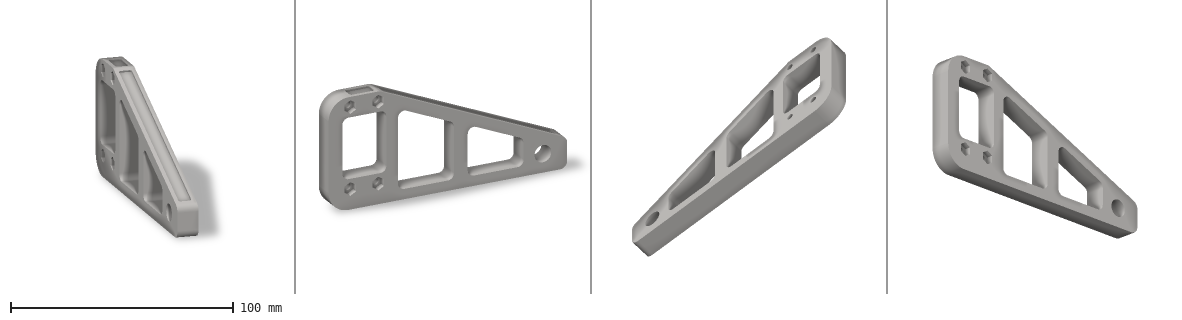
import cadquery as cq
import math

LENGTH = 120.0
THICKNESS = 10.0
HEIGHT = 55.0

BACK_RADIUS = 10.0
NOSE_RADIUS = 3.6
BEND_RADIUS = 3.0
BEND_X = 25.7
NOSE_HEIGHT = 14.8

MOUNT_CENTRE_Z = 30.0

WINDOW_RADIUS = 3.0
MOUNT_WINDOW_X = (7.0, 29.0)
MOUNT_WINDOW_HEIGHT = 30.0
BAY_WIDTH = 28.1
BAY_STARTS = (34.9, 70.0)
BAY_FLOOR = 5.0
BAY_TOP_WALLS = (5.8, 5.3)

HOLE_DIAMETER = 3.2
HOLE_XS = (10.9, 25.0)
HOLE_SPACING_Z = 40.0
NUT_FLATS = 5.8
NUT_DEPTH = 3.0

PIVOT_DIAMETER = 8.4
PIVOT_X = 107.8
PIVOT_Z = BAY_FLOOR + PIVOT_DIAMETER / 2

POCKET_MARGIN = 1.9
POCKET_BEND_MARGIN = 1.0
POCKET_DEPTH = 1.0
POCKET_RADIUS = 1.0

SLOPE = (HEIGHT - NOSE_HEIGHT) / (LENGTH - BEND_X)
SLOPE_ANGLE = math.atan(SLOPE)


def slope_height(x):
    return HEIGHT - SLOPE * (x - BEND_X)


def extruded_profile(points):
    """Extrude an XZ outline through the full thickness, from Y = 0 to Y = THICKNESS."""
    return cq.Workplane("XZ").polyline(points).close().extrude(-THICKNESS)


def make_plate():
    plate = extruded_profile([(0, 0), (LENGTH, 0), (LENGTH, NOSE_HEIGHT), (BEND_X, HEIGHT), (0, HEIGHT)])
    plate = plate.edges("|Y and <X").fillet(BACK_RADIUS)
    plate = plate.edges("|Y and >X").fillet(NOSE_RADIUS)
    bend = cq.selectors.NearestToPointSelector((BEND_X, THICKNESS / 2, HEIGHT))
    return plate.edges(bend).fillet(BEND_RADIUS)


def make_mount_window():
    left, right = MOUNT_WINDOW_X
    bottom = MOUNT_CENTRE_Z - MOUNT_WINDOW_HEIGHT / 2
    top = bottom + MOUNT_WINDOW_HEIGHT
    window = extruded_profile([(left, bottom), (right, bottom), (right, top), (left, top)])
    return window.edges("|Y").fillet(WINDOW_RADIUS)


def make_bay(left, top_wall):
    """Four-sided opening whose top edge runs parallel to the slope."""
    right = left + BAY_WIDTH
    drop = top_wall / math.cos(SLOPE_ANGLE)
    bay = extruded_profile([
        (left, BAY_FLOOR),
        (right, BAY_FLOOR),
        (right, slope_height(right) - drop),
        (left, slope_height(left) - drop),
    ])
    return bay.edges("|Y").fillet(WINDOW_RADIUS)


def make_nut_hole(x, z):
    """Through hole with a hexagonal nut recess in the front face, corners pointing up and down."""
    plane = cq.Workplane("XZ", origin=(x, 0, z))
    hole = plane.circle(HOLE_DIAMETER / 2).extrude(-THICKNESS)
    corner_diameter = NUT_FLATS / math.cos(math.pi / 6)
    recess = plane.transformed(rotate=(0, 0, 90)).polygon(6, corner_diameter).extrude(-NUT_DEPTH)
    return hole.union(recess)


def make_pocket(length):
    """Rounded pocket cutter centred on the origin, with its mouth at Z = 0."""
    width = THICKNESS - 2 * POCKET_MARGIN
    pocket = cq.Workplane("XY").rect(length, width).extrude(-POCKET_DEPTH)
    return pocket.edges("|Z").fillet(POCKET_RADIUS)


def make_top_pocket():
    bend_start = BEND_X - BEND_RADIUS * math.tan(SLOPE_ANGLE / 2)
    left = BACK_RADIUS + POCKET_MARGIN
    right = bend_start - POCKET_BEND_MARGIN
    return make_pocket(right - left).translate(((left + right) / 2, THICKNESS / 2, HEIGHT))


def make_slope_pocket():
    bend_setback = BEND_RADIUS * math.tan(SLOPE_ANGLE / 2)
    nose_setback = NOSE_RADIUS * math.tan((math.pi / 2 - SLOPE_ANGLE) / 2)
    left = BEND_X + (bend_setback + POCKET_MARGIN) * math.cos(SLOPE_ANGLE)
    right = LENGTH - (nose_setback + POCKET_MARGIN) * math.cos(SLOPE_ANGLE)
    middle = (left + right) / 2
    pocket = make_pocket((right - left) / math.cos(SLOPE_ANGLE))
    pocket = pocket.rotate((0, 0, 0), (0, 1, 0), math.degrees(SLOPE_ANGLE))
    return pocket.translate((middle, THICKNESS / 2, slope_height(middle)))


result = make_plate().cut(make_mount_window())
for bay_start, bay_top_wall in zip(BAY_STARTS, BAY_TOP_WALLS):
    result = result.cut(make_bay(bay_start, bay_top_wall))

for hole_x in HOLE_XS:
    for side in (-1, 1):
        hole_z = MOUNT_CENTRE_Z + side * HOLE_SPACING_Z / 2
        result = result.cut(make_nut_hole(hole_x, hole_z))

pivot_hole = cq.Workplane("XZ", origin=(PIVOT_X, 0, PIVOT_Z)).circle(PIVOT_DIAMETER / 2).extrude(-THICKNESS)
result = result.cut(pivot_hole)
result = result.cut(make_top_pocket()).cut(make_slope_pocket())